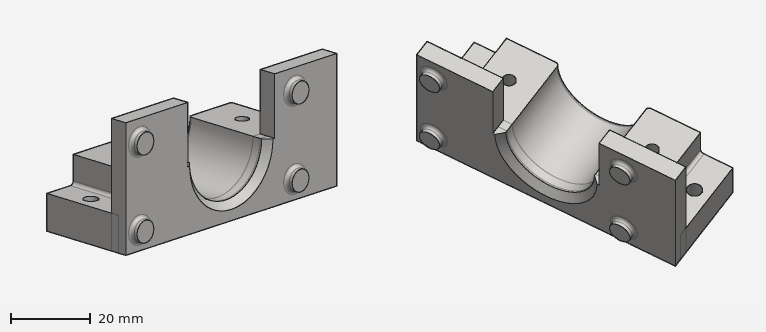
import cadquery as cq

base_depth = 25.0
part_width = 76.0
shoulder_height = 18.0
ledge_height = 10.0
shoulder_half_width = 28.5
ledge_fillet = 1.0

plate_start = 22.5
plate_thickness = 5.0
plate_height = 35.0
plate_gap = 31.2
plate_face = plate_start + plate_thickness

saddle_radius = 13.0
saddle_back_fillet = 1.0
saddle_front_chamfer = 2.0

hole_x = 11.0
shoulder_hole_diameter = 3.6
shoulder_hole_y = 21.0
ledge_hole_diameter = 4.0
ledge_hole_y = 33.5

peg_diameter = 6.0
peg_length = 2.0
peg_root_fillet = 1.0
peg_positions_y = (22.87, -32.98)
peg_positions_z = (28.8, 5.55)


def make_base():
    """Ledge slab with a raised shoulder and filleted inner corners."""
    slab = cq.Workplane("XY").box(base_depth, part_width, ledge_height, centered=(False, True, False))
    shoulder = cq.Workplane("XY").box(
        base_depth, 2 * shoulder_half_width, shoulder_height, centered=(False, True, False)
    )
    base = slab.union(shoulder)
    for side in (-1, 1):
        corner = (base_depth / 2, side * shoulder_half_width, ledge_height)
        base = base.edges(cq.selectors.NearestToPointSelector(corner)).fillet(ledge_fillet)
    return base


def make_plate():
    """Full-width upright plate, split above the shoulder by a central gap."""
    plate = cq.Workplane("XY").box(plate_thickness, part_width, plate_height, centered=(False, True, False))
    gap = (
        cq.Workplane("XY")
        .box(plate_thickness, plate_gap, plate_height - shoulder_height, centered=(False, True, False))
        .translate((0, 0, shoulder_height))
    )
    return plate.cut(gap).translate((plate_start, 0, 0))


def make_saddle_cutter():
    """Revolved cutter: flared by a round at the back and a chamfer at the front."""
    back_radius = saddle_radius + saddle_back_fillet
    front_radius = saddle_radius + saddle_front_chamfer
    return (
        cq.Workplane("XY")
        .lineTo(0, back_radius)
        .radiusArc((saddle_back_fillet, saddle_radius), -saddle_back_fillet)
        .lineTo(plate_face - saddle_front_chamfer, saddle_radius)
        .lineTo(plate_face, front_radius)
        .lineTo(plate_face, 0)
        .close()
        .revolve(360, (0, 0, 0), (1, 0, 0))
        .translate((0, 0, shoulder_height))
    )


def make_hole_pair(diameter, offset):
    """Through-hole cutters mirrored about the middle of the part."""
    return (
        cq.Workplane("XY")
        .pushPoints([(hole_x, -offset), (hole_x, offset)])
        .circle(diameter / 2)
        .extrude(shoulder_height)
    )


def make_peg(y, z):
    """Round peg along X with a concave fillet at its root."""
    peg_radius = peg_diameter / 2
    return (
        cq.Workplane("XY")
        .lineTo(0, peg_radius + peg_root_fillet)
        .radiusArc((peg_root_fillet, peg_radius), -peg_root_fillet)
        .lineTo(peg_length, peg_radius)
        .lineTo(peg_length, 0)
        .close()
        .revolve(360, (0, 0, 0), (1, 0, 0))
        .translate((plate_face, y, z))
    )


saddle_cutter = make_saddle_cutter()
base = make_base().cut(saddle_cutter)
plate = make_plate().cut(saddle_cutter)
result = base.union(plate, clean=False)
result = result.cut(make_hole_pair(shoulder_hole_diameter, shoulder_hole_y), clean=False)
result = result.cut(make_hole_pair(ledge_hole_diameter, ledge_hole_y), clean=False)
for peg_y in peg_positions_y:
    for peg_z in peg_positions_z:
        result = result.union(make_peg(peg_y, peg_z), clean=False)